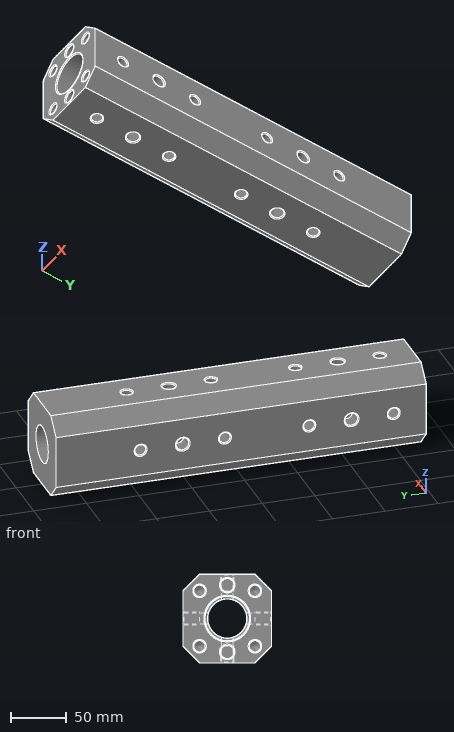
import cadquery as cq
import math

length = 351.0
width = 80.0
flat_width = 50.0
corner_cut = (width - flat_width) / 2

bore_diameter = 35.0
counterbore_diameter = 40.0
counterbore_depth = 31.0

tap_diameter = 10.2
tap_depth = 24.5
drill_point_angle = 118.0
dowel_diameter = 12.0
dowel_depth = 15.0
mouth_chamfer = 1.0

end_tap_spacing = flat_width
end_dowel_spacing = 60.0

group_pitch = 160.0
front_group_y = -104.5
tap_offset = 40.0
group_centres = [front_group_y, front_group_y + group_pitch]

X_AXIS = cq.Vector(1, 0, 0)
Y_AXIS = cq.Vector(0, 1, 0)
Z_AXIS = cq.Vector(0, 0, 1)


def octagonal_block():
    """Square bar with its four long edges cut at 45 degrees."""
    return cq.Workplane("XY").box(width, length, width).edges("|Y").chamfer(corner_cut)


def countersink(start, inward, diameter):
    """45 degree countersink at the mouth of a hole."""
    radius = diameter / 2
    return cq.Solid.makeCone(radius + mouth_chamfer, radius, mouth_chamfer, start, inward)


def blind_hole(start, inward, diameter, depth):
    """Flat-bottomed hole with a countersunk mouth."""
    barrel = cq.Solid.makeCylinder(diameter / 2, depth, start, inward)
    return cq.Workplane(barrel.fuse(countersink(start, inward, diameter)))


def drilled_hole(start, inward, diameter, depth):
    """Blind hole that ends in a conical drill point."""
    radius = diameter / 2
    point_height = radius / math.tan(math.radians(drill_point_angle / 2))
    point = cq.Solid.makeCone(radius, 0, point_height, start + inward * depth, inward)
    return blind_hole(start, inward, diameter, depth).union(cq.Workplane(point))


def front_point(x, z):
    """Point on the front face."""
    return cq.Vector(x, -length / 2, z)


def long_face_point(outward, y):
    """Point on the centreline of the long face that looks outward."""
    return outward * (width / 2) + Y_AXIS * y


result = octagonal_block()

bore = cq.Solid.makeCylinder(bore_diameter / 2, length, front_point(0, 0), Y_AXIS)
result = result.cut(cq.Workplane(bore))
result = result.cut(blind_hole(front_point(0, 0), Y_AXIS, counterbore_diameter, counterbore_depth))

for z_side in (-1, 1):
    dowel_start = front_point(0, z_side * end_dowel_spacing / 2)
    result = result.cut(blind_hole(dowel_start, Y_AXIS, dowel_diameter, dowel_depth))
    for x_side in (-1, 1):
        tap_start = front_point(x_side * end_tap_spacing / 2, z_side * end_tap_spacing / 2)
        result = result.cut(drilled_hole(tap_start, Y_AXIS, tap_diameter, tap_depth))

for outward in (X_AXIS, X_AXIS * -1, Z_AXIS, Z_AXIS * -1):
    inward = outward * -1
    for centre in group_centres:
        dowel_start = long_face_point(outward, centre)
        result = result.cut(blind_hole(dowel_start, inward, dowel_diameter, dowel_depth))
        for offset in (-tap_offset, tap_offset):
            tap_start = long_face_point(outward, centre + offset)
            result = result.cut(blind_hole(tap_start, inward, tap_diameter, width / 2))